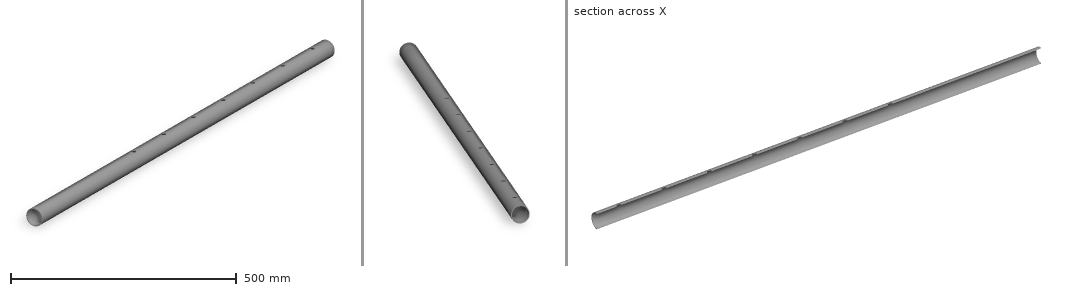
import cadquery as cq

LENGTH = 1190.0
OUTER_DIAMETER = 42.4
WALL = 2.0

HOLE_DIAMETER = 12.0
HOLE_COUNT = 7
HOLE_PITCH = 121.0
FIRST_HOLE_FROM_END = 60.0

OUTER_RADIUS = OUTER_DIAMETER / 2
INNER_RADIUS = OUTER_RADIUS - WALL


def make_tube():
    """Round tube with plain open ends."""
    end_face = cq.Workplane("XZ", origin=(0, LENGTH / 2, 0))
    return end_face.circle(OUTER_RADIUS).circle(INNER_RADIUS).extrude(LENGTH)


def make_hole_cutters():
    """Vertical cylinders from the tube axis up through the top wall."""
    first_y = LENGTH / 2 - FIRST_HOLE_FROM_END
    centres = [(0, first_y - i * HOLE_PITCH) for i in range(HOLE_COUNT)]
    return cq.Workplane("XY").pushPoints(centres).circle(HOLE_DIAMETER / 2).extrude(OUTER_DIAMETER)


result = make_tube().cut(make_hole_cutters())